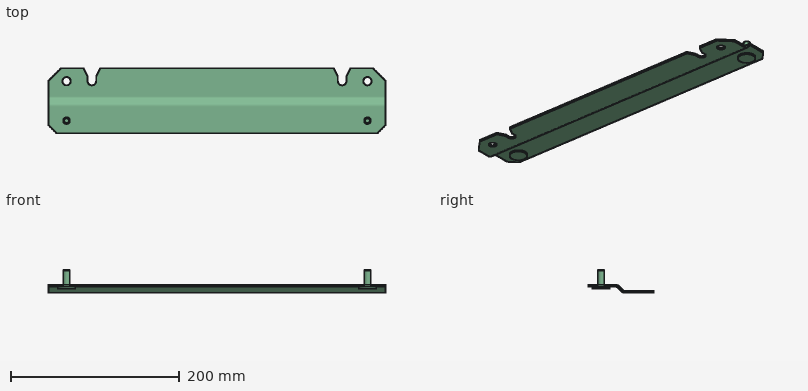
import cadquery as cq
import math

length = 400.0
width = 77.5
thickness = 2.5
step_height = 7.0
step_rear_inset = 39.5
bend_angle = math.radians(45)
bend_inner_radius = 4.0
front_chamfer = 10.0
rear_chamfer = 15.0

fixing_end_inset = 21.5
hole_diameter = 9.5
hole_rear_inset = 15.5
slot_end_inset = 51.5
slot_width = 10.0
slot_mouth_width = 20.0
slot_taper_depth = 10.0
slot_depth = 20.5

stud_front_inset = 15.0
shank_diameter = 8.0
shank_height = 18.0
tip_chamfer = 1.0
head_diameter = 21.0
head_height = 2.0

front_flange_top = step_height + thickness
end_x = length / 2
rear_y = width / 2
front_y = -rear_y
step_y = rear_y - step_rear_inset
stud_y = front_y + stud_front_inset
fixing_xs = [side * (end_x - fixing_end_inset) for side in (-1, 1)]
slot_xs = [side * (end_x - slot_end_inset) for side in (-1, 1)]


def round_bend(sheet, corner, radius):
    """Round the edge along X that passes through a (y, z) corner."""
    corner_edge = cq.selectors.NearestToPointSelector((0, *corner))
    return sheet.edges(corner_edge).fillet(radius)


def make_stepped_sheet():
    """Sheet of constant thickness with two equal and opposite rounded bends."""
    half_run = step_height / math.tan(bend_angle) / 2
    corner_shift = thickness / 2 * math.tan(bend_angle / 2)
    upper_front = (step_y - half_run + corner_shift, front_flange_top)
    upper_rear = (step_y + half_run + corner_shift, thickness)
    lower_rear = (step_y + half_run - corner_shift, 0)
    lower_front = (step_y - half_run - corner_shift, step_height)

    sheet = (
        cq.Workplane("YZ")
        .moveTo(front_y, front_flange_top)
        .lineTo(*upper_front)
        .lineTo(*upper_rear)
        .lineTo(rear_y, thickness)
        .lineTo(rear_y, 0)
        .lineTo(*lower_rear)
        .lineTo(*lower_front)
        .lineTo(front_y, step_height)
        .close()
        .extrude(end_x, both=True)
    )

    for corner in (upper_rear, lower_front):
        sheet = round_bend(sheet, corner, bend_inner_radius)
    for corner in (upper_front, lower_rear):
        sheet = round_bend(sheet, corner, bend_inner_radius + thickness)
    return sheet


def make_slot_cutter(x):
    """Round-bottomed slot that widens to its mouth at the rear edge."""
    half_slot = slot_width / 2
    half_mouth = slot_mouth_width / 2
    taper_y = rear_y - slot_taper_depth
    bottom_y = rear_y - slot_depth
    return (
        cq.Workplane("XY")
        .moveTo(x - half_mouth, rear_y)
        .lineTo(x - half_slot, taper_y)
        .lineTo(x - half_slot, bottom_y + half_slot)
        .threePointArc((x, bottom_y), (x + half_slot, bottom_y + half_slot))
        .lineTo(x + half_slot, taper_y)
        .lineTo(x + half_mouth, rear_y)
        .close()
        .extrude(thickness)
    )


def make_plate():
    plate = make_stepped_sheet()

    plate = plate.edges("|Z and >Y").chamfer(rear_chamfer)
    plate = plate.edges("|Z and <Y").chamfer(front_chamfer)

    for x in slot_xs:
        plate = plate.cut(make_slot_cutter(x))

    hole_points = [(x, rear_y - hole_rear_inset) for x in fixing_xs]
    stud_points = [(x, stud_y) for x in fixing_xs]
    fixing_holes = cq.Workplane("XY").pushPoints(hole_points).circle(hole_diameter / 2)
    stud_holes = cq.Workplane("XY").pushPoints(stud_points).circle(shank_diameter / 2)
    plate = plate.cut(fixing_holes.extrude(front_flange_top))
    return plate.cut(stud_holes.extrude(front_flange_top))


def make_stud(x):
    """Stud with its head against the underside of the front flange."""
    head = (
        cq.Workplane("XY", origin=(x, stud_y, step_height - head_height))
        .circle(head_diameter / 2)
        .extrude(head_height)
    )
    shank = (
        cq.Workplane("XY", origin=(x, stud_y, step_height))
        .circle(shank_diameter / 2)
        .extrude(thickness + shank_height)
        .faces(">Z")
        .chamfer(tip_chamfer)
    )
    return head.union(shank)


plate = make_plate()
studs = [make_stud(x) for x in fixing_xs]

result = cq.Compound.makeCompound([plate.solids().val(), *[stud.solids().val() for stud in studs]])